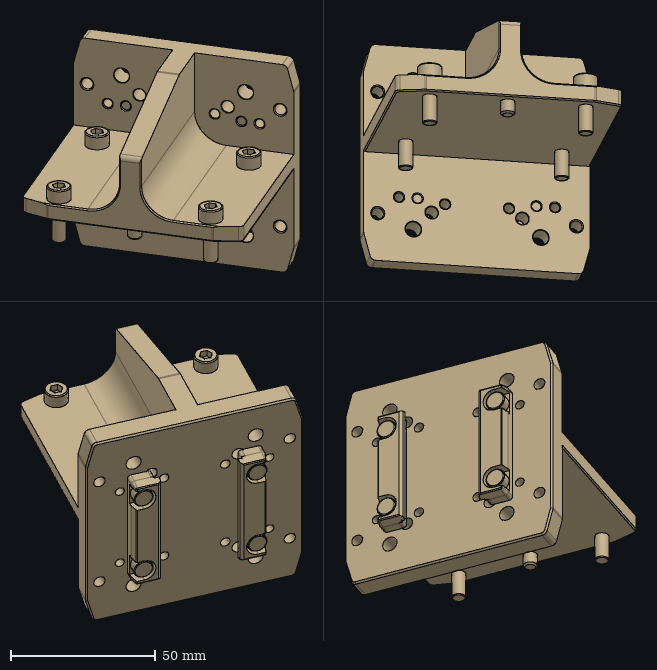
import cadquery as cq
import math


plate_size = 80.0
plate_half = plate_size / 2
plate_thickness = 8.2
total_depth = 78.0
strip_height = 6.9
shelf_reach = total_depth - strip_height
shelf_thickness = 6.0
rib_half_width = 4.0
web_radius = 11.5
rib_flat_length = 26.2

corner_length = 10.0
corner_angle = math.radians(15)
corner_depth = corner_length * math.tan(corner_angle)
corner_radius = 2.0
edge_break = 0.5
plate_edge_break = 0.6

screw_x = 27.5
screw_rows_y = (-20.6, -65.7)
screw_head_diameter = 8.5
screw_head_height = 5.0
screw_head_break = 0.4
screw_shank_diameter = 5.0
screw_tip_z = -10.0
screw_tip_break = 0.3
socket_width = 4.0
socket_depth = 2.4
socket_cone_depth = 1.4
dowel_diameter = 5.0
dowel_length = 5.0
dowel_break = 0.6

large_hole = (22.5, 27.5)
large_hole_diameter = 5.5
large_hole_mouth = 5.8
clearance_hole = (16.0, 21.0)
clearance_hole_diameter = 4.5
clearance_hole_mouth = 4.8
dowel_hole = (11.3, 17.5)
dowel_hole_diameter = 3.5
dowel_hole_mouth = 4.0
large_thread = (35.0, 22.5)
large_thread_core = 4.2
large_thread_diameter = 5.0
small_thread = (screw_x, 16.0)
strip_screw = (21.0, 16.0)
small_thread_core = 3.3
small_thread_diameter = 4.0

strip_half_length = 22.4
strip_outer_x = 24.7
strip_neck_x = 16.0
strip_lip_x = 14.6
strip_neck_height = 3.5
strip_lip_bottom = 4.2
strip_lip_bevel = 1.1
strip_corner_radius = 1.3
strip_edge_break = 0.3
strip_taper_degrees = math.degrees(corner_angle)
strip_slot_width = 8.5
strip_slot_floor = 2.3
strip_screw_head_diameter = 7.0
strip_screw_head_height = 4.0


def mirrored(point):
    """The four positions of a point mirrored about both centre lines."""
    x, z = point
    return [(sx * x, sz * z) for sx in (-1, 1) for sz in (-1, 1)]


def make_plate():
    """Square plate with sloped, rounded corners and a broken back edge."""
    flat = plate_half - corner_depth
    straight = plate_half - corner_length
    outline = [
        (-flat, plate_half), (flat, plate_half), (plate_half, straight), (plate_half, -straight),
        (flat, -plate_half), (-flat, -plate_half), (-plate_half, -straight), (-plate_half, straight),
    ]
    plate = cq.Workplane("XZ").polyline(outline).close().extrude(plate_thickness)
    return plate.edges("|Y").fillet(corner_radius).faces(">Y").edges().chamfer(plate_edge_break)


def make_bracket():
    """Shelf and rib: a T section trimmed to its plan and side outlines."""
    web_x = rib_half_width + web_radius
    web_z = shelf_thickness + web_radius
    section = (
        cq.Workplane("XZ")
        .moveTo(-plate_half, 0)
        .lineTo(plate_half, 0)
        .lineTo(plate_half, shelf_thickness)
        .lineTo(web_x, shelf_thickness)
        .radiusArc((rib_half_width, web_z), web_radius)
        .lineTo(rib_half_width, plate_half)
        .lineTo(-rib_half_width, plate_half)
        .lineTo(-rib_half_width, web_z)
        .radiusArc((-web_x, shelf_thickness), web_radius)
        .lineTo(-plate_half, shelf_thickness)
        .close()
        .extrude(shelf_reach)
    )
    front_edges = section.faces("<Y").edges("not(<Z or >Z or <X or >X)")
    section = front_edges.chamfer(edge_break)

    straight = plate_half - corner_length
    side_end = shelf_reach - corner_depth
    root = -plate_thickness / 2
    plan = (
        cq.Workplane("XY")
        .polyline([
            (-plate_half, root), (plate_half, root), (plate_half, -side_end), (straight, -shelf_reach),
            (-straight, -shelf_reach), (-plate_half, -side_end),
        ])
        .close()
        .extrude(plate_half)
        .edges("|Z and (not >Y)")
        .fillet(corner_radius)
    )

    rib_front_z = plate_half - (shelf_reach - rib_flat_length) * math.tan(corner_angle)
    side = (
        cq.Workplane("YZ")
        .polyline([
            (0, 0), (0, plate_half), (-rib_flat_length, plate_half),
            (-shelf_reach, rib_front_z), (-shelf_reach, 0),
        ])
        .close()
        .extrude(plate_half, both=True)
        .edges("|X and (not <Z) and (not >Y)")
        .fillet(corner_radius)
    )
    bracket = section.intersect(plan).intersect(side)
    return bracket.faces("<Z").edges("not >Y").chamfer(edge_break)


def make_cap_screw(x, y):
    """Socket head cap screw standing on the shelf, with its shank below."""
    head_top = shelf_thickness + screw_head_height
    socket_corner = socket_width / math.cos(math.pi / 6)
    head = (
        cq.Workplane("XY", origin=(x, y, shelf_thickness))
        .circle(screw_head_diameter / 2)
        .extrude(screw_head_height)
        .faces(">Z")
        .edges()
        .chamfer(screw_head_break)
    )
    shank = (
        cq.Workplane("XY", origin=(x, y, screw_tip_z))
        .circle(screw_shank_diameter / 2)
        .extrude(shelf_thickness - screw_tip_z)
        .faces("<Z")
        .edges()
        .chamfer(screw_tip_break)
    )
    hexagon = (
        cq.Workplane("XY", origin=(x, y, head_top))
        .polygon(6, socket_corner)
        .extrude(-socket_depth - socket_cone_depth)
    )
    drill_tip = (
        cq.Workplane("XZ", origin=(x, y, head_top))
        .polyline([
            (0, 0), (socket_corner / 2, 0), (socket_corner / 2, -socket_depth),
            (0, -socket_depth - socket_cone_depth),
        ])
        .close()
        .revolve(360, (0, 0), (0, 1))
    )
    return head.union(shank).cut(hexagon.intersect(drill_tip))


def make_dowel():
    """Dowel below the shelf on the centre line, in line with the front screws."""
    return (
        cq.Workplane("XY", origin=(0, screw_rows_y[-1], -dowel_length))
        .circle(dowel_diameter / 2)
        .extrude(dowel_length + shelf_thickness / 2)
        .faces("<Z")
        .edges()
        .chamfer(dowel_break)
    )


def plate_holes(point, diameter):
    """Cutters for a through hole in all four quadrants of the plate."""
    return (
        cq.Workplane("XZ")
        .pushPoints(mirrored(point))
        .circle(diameter / 2)
        .extrude(plate_thickness)
    )


def countersinks(point, core, diameter):
    """Cutters for 45 degree countersinks in the front face of the plate."""
    depth = (diameter - core) / 2
    return (
        cq.Workplane("XZ", origin=(0, -plate_thickness, 0))
        .pushPoints(mirrored(point))
        .circle(diameter / 2)
        .extrude(-depth, taper=45)
    )


def make_clamp_strip():
    """Strip on the -X side: neck, tapered head with a lip, and two screw heads in side slots."""
    length = 2 * strip_half_length
    neck_width = strip_outer_x - strip_neck_x
    neck = (
        cq.Workplane("XZ", origin=(-(strip_outer_x + strip_neck_x) / 2, 0, 0))
        .rect(neck_width, length)
        .extrude(-strip_neck_height)
        .edges("|Y")
        .fillet(strip_corner_radius)
    )
    profile = (
        cq.Workplane("XY", origin=(0, 0, -strip_half_length))
        .polyline([
            (-strip_outer_x, strip_neck_height),
            (-strip_neck_x, strip_neck_height),
            (-strip_neck_x, strip_lip_bottom),
            (-strip_lip_x, strip_lip_bottom),
            (-strip_lip_x, strip_height - strip_lip_bevel),
            (-strip_lip_x - strip_lip_bevel, strip_height),
            (-strip_outer_x, strip_height),
        ])
        .close()
        .extrude(length)
    )
    head_height = strip_height - strip_neck_height
    block_inner_x = strip_lip_x - head_height
    block_width = strip_outer_x - block_inner_x
    block_outline = cq.Sketch().rect(block_width, length).vertices().fillet(strip_corner_radius)
    block = (
        cq.Workplane("XZ", origin=(-(strip_outer_x + block_inner_x) / 2, strip_neck_height, 0))
        .placeSketch(block_outline)
        .extrude(-head_height, taper=strip_taper_degrees)
    )
    head = profile.intersect(block.faces(">Y").edges().chamfer(strip_edge_break))
    strip = neck.union(head)
    seat_x, seat_z = strip_screw
    for z in (-seat_z, seat_z):
        seat = cq.Workplane("XZ", origin=(-seat_x, strip_slot_floor, z))
        slot_depth = strip_height - strip_slot_floor
        slot_end = seat.circle(strip_slot_width / 2).extrude(-slot_depth)
        slot_mouth = seat.center(-strip_slot_width / 2, 0).rect(strip_slot_width, strip_slot_width)
        strip = strip.cut(slot_end).cut(slot_mouth.extrude(-slot_depth))
        screw_head = seat.circle(strip_screw_head_diameter / 2).extrude(-strip_screw_head_height)
        strip = strip.union(screw_head.faces(">Y").edges().chamfer(strip_edge_break))
    return strip


plate = make_plate()
for point, diameter, mouth in (
    (large_hole, large_hole_diameter, large_hole_mouth),
    (clearance_hole, clearance_hole_diameter, clearance_hole_mouth),
    (dowel_hole, dowel_hole_diameter, dowel_hole_mouth),
    (large_thread, large_thread_core, large_thread_diameter),
    (small_thread, small_thread_core, small_thread_diameter),
):
    plate = plate.cut(plate_holes(point, diameter))
    plate = plate.cut(countersinks(point, diameter, mouth))

plate = plate.cut(countersinks(strip_screw, small_thread_core, small_thread_diameter))

result = plate.union(make_bracket()).union(make_dowel())
for x in (-screw_x, screw_x):
    for y in screw_rows_y:
        result = result.union(make_cap_screw(x, y))

clamp_strip = make_clamp_strip()
result = result.union(clamp_strip).union(clamp_strip.mirror("YZ"))